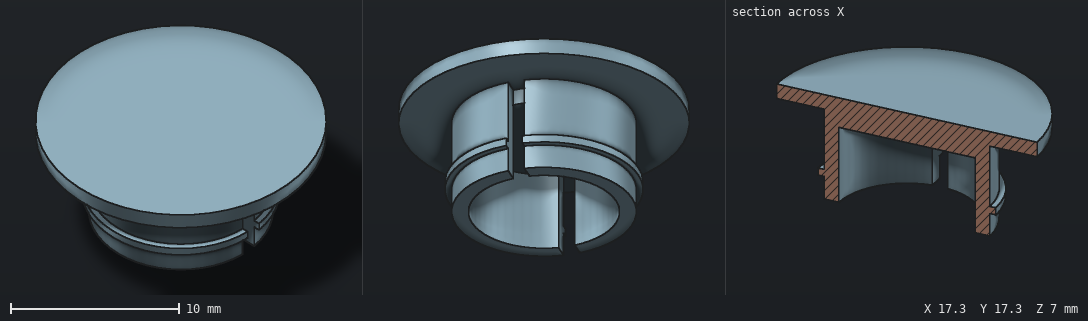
import cadquery as cq

flange_diameter = 17.3
flange_thickness = 1.0
total_height = 7.0
sleeve_diameter = 11.0
bore_diameter = 9.0
bore_depth = 5.0
snap_ring_diameter = 11.8
snap_ring_height = 0.5
snap_ring_base = 1.5
slot_width = 1.0

sleeve_height = total_height - flange_thickness


def disc(diameter, height, base):
    """Solid disc on the Z axis, starting at height base."""
    return cq.Workplane("XY").workplane(offset=base).circle(diameter / 2).extrude(height)


sleeve = (
    disc(sleeve_diameter, sleeve_height, 0)
    .union(disc(snap_ring_diameter, snap_ring_height, snap_ring_base))
    .cut(disc(bore_diameter, sleeve_height, 0))
)

slot = cq.Workplane("XY").box(
    flange_diameter, slot_width, sleeve_height, centered=(True, True, False)
)
legs = sleeve.cut(slot)

core = disc(bore_diameter, sleeve_height - bore_depth, bore_depth)
flange = disc(flange_diameter, flange_thickness, sleeve_height)

result = flange.union(core).union(legs)